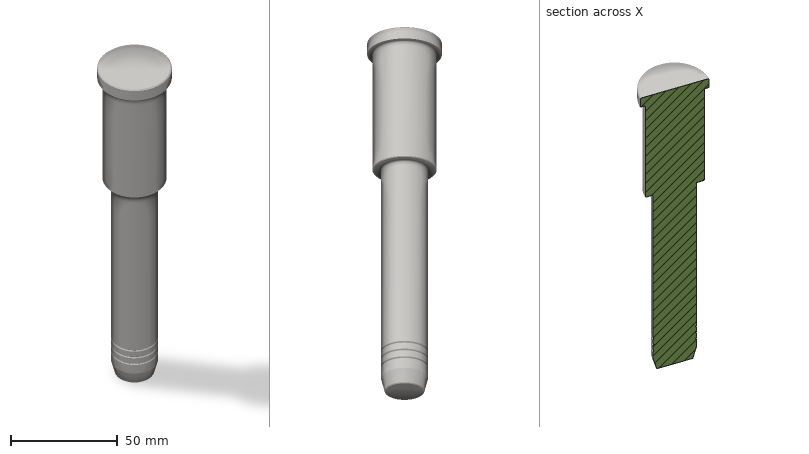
import cadquery as cq

length = 181.0
head_diameter = 35.0
body_diameter = 30.0
shank_diameter = 22.0
tip_diameter = 18.5

head_height = 6.2
body_length = 60.1
taper_length = 7.0

head_chamfer = 0.5
body_chamfer = 0.4
tip_chamfer = 0.4

root_fillet = 0.5

groove_count = 3
groove_width = 0.9
groove_depth = groove_width / 2
groove_pitch = 4.0
first_groove_height = 12.1

head_bottom = length - head_height
body_bottom = head_bottom - body_length


def cylinder(diameter, bottom, top):
    """Solid cylinder on the Z axis between two heights."""
    return cq.Workplane("XY").workplane(offset=bottom).circle(diameter / 2).extrude(top - bottom)


def tapered_tip():
    """Cone widening from the tip face to the shank, with a broken bottom edge."""
    cone = (
        cq.Workplane("XY")
        .circle(tip_diameter / 2)
        .workplane(offset=taper_length)
        .circle(shank_diameter / 2)
        .loft()
    )
    return cone.faces("<Z").edges().chamfer(tip_chamfer)


def groove(bottom):
    """Ring that cuts one V-shaped groove into the shank."""
    radius = shank_diameter / 2
    profile = [
        (radius, bottom),
        (radius - groove_depth, bottom + groove_width / 2),
        (radius, bottom + groove_width),
    ]
    return cq.Workplane("XZ").polyline(profile).close().revolve(360, (0, 0), (0, 1))


head = cylinder(head_diameter, head_bottom, length).faces(">Z").edges().chamfer(head_chamfer)
body = cylinder(body_diameter, body_bottom, head_bottom).faces("<Z").edges().chamfer(body_chamfer)
shank = cylinder(shank_diameter, taper_length, body_bottom)

result = head.union(body).union(shank).union(tapered_tip())

for diameter, height in [(body_diameter, head_bottom), (shank_diameter, body_bottom)]:
    corner = cq.selectors.BoxSelector(
        (-diameter, -diameter, height - root_fillet),
        (diameter, diameter, height + root_fillet),
        boundingbox=False,
    )
    inner_edge = cq.selectors.RadiusNthSelector(0)
    result = result.edges(corner).edges(inner_edge).fillet(root_fillet)

for index in range(groove_count):
    result = result.cut(groove(first_groove_height + index * groove_pitch))